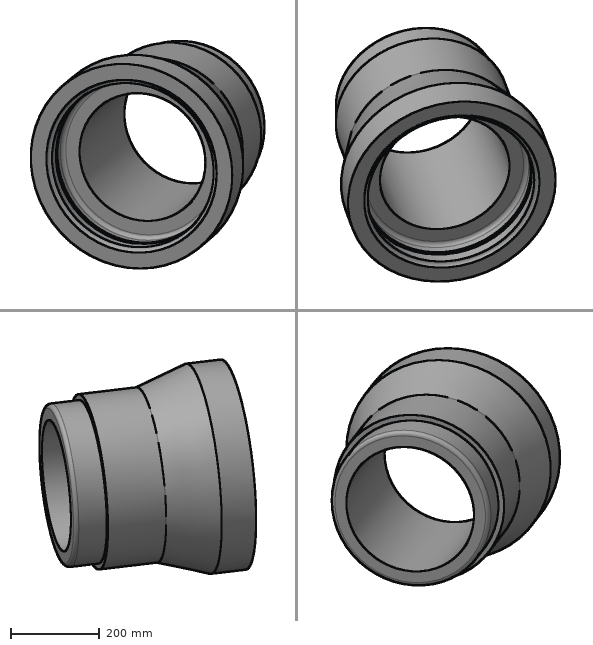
import cadquery as cq

rim_radius = 240.0
body_radius = 200.0
spigot_radius = 186.5
bore_radius = 150.0
socket_radius = 192.5
edge_round = 10.0

rim_end = 80.0
taper_end = 200.0
body_end = 335.0
total_length = 410.0
socket_depth = 80.0
tip_round = 10.0

groove_start = 40.0
groove_width = 10.0
groove_depth = 5.0

outer_profile = (
    cq.Workplane("XY")
    .lineTo(rim_radius, 0)
    .lineTo(rim_radius, rim_end)
    .lineTo(body_radius, taper_end)
    .lineTo(body_radius, body_end)
    .lineTo(spigot_radius, body_end)
    .lineTo(spigot_radius, total_length)
    .lineTo(0, total_length)
    .close()
)
outside = outer_profile.revolve(360, (0, 0, 0), (0, 1, 0))
outside = outside.faces(">Y").edges().fillet(tip_round)

socket_profile = (
    cq.Workplane("XY")
    .lineTo(socket_radius + edge_round, 0)
    .radiusArc((socket_radius, edge_round), -edge_round)
    .lineTo(socket_radius, groove_start)
    .lineTo(socket_radius + groove_depth, groove_start)
    .lineTo(socket_radius + groove_depth, groove_start + groove_width)
    .lineTo(socket_radius, groove_start + groove_width)
    .lineTo(socket_radius, socket_depth - edge_round)
    .radiusArc((socket_radius - edge_round, socket_depth), -edge_round)
    .lineTo(0, socket_depth)
    .close()
)
socket = socket_profile.revolve(360, (0, 0, 0), (0, 1, 0))

bore = cq.Workplane("XZ").circle(bore_radius).extrude(-total_length)

result = outside.cut(socket).cut(bore)